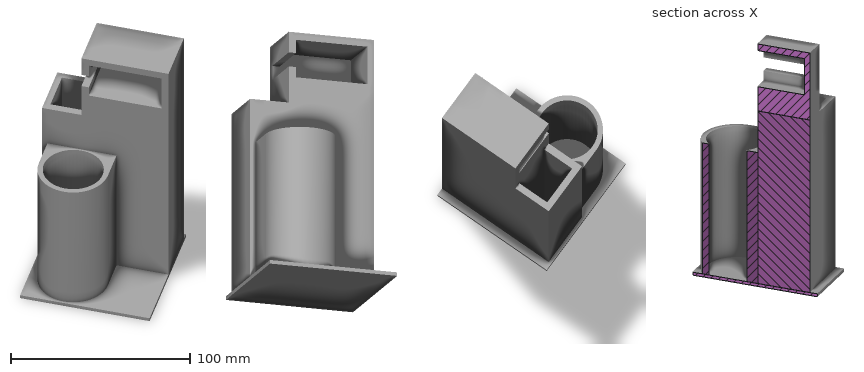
import cadquery as cq

plate_width = 74.9
plate_depth = 75.8
plate_thickness = 2.0

total_height = 148
tower_left = 24.5
tower_front = 39.4
tower_depth = 32.0

wall = 4.0
back_wall = 3.7
pocket_left = tower_left + 4.3
pocket_right = plate_width - wall
pocket_floor = 122.0
pocket_top = total_height - 4.3
slot_bottom = 127.9
slot_top = 136.0

box_left = 1.8
box_right = 54.3
box_top = 106.9
box_wall = 3.7
box_front_wall = 4.3

cup_diameter = 40
cup_bore = 34
cup_center_x = 24.9
cup_center_y = 21.3
cup_top = 81.8

tower_back = tower_front + tower_depth
cup_radius = cup_diameter / 2


def block(x0, x1, y0, y1, z0, z1):
    """Rectangular block between two opposite corners."""
    return cq.Workplane("XY").box(x1 - x0, y1 - y0, z1 - z0, centered=False).translate((x0, y0, z0))


def make_stand():
    """Base plate and tower in one piece, stepped over the box."""
    plate = block(0, plate_width, 0, plate_depth, 0, plate_thickness)
    column = block(box_right, plate_width, tower_front, tower_back, plate_thickness, total_height)
    head = block(tower_left, plate_width, tower_front, tower_back, box_top, total_height)
    pocket_back = tower_back - back_wall
    pocket = block(pocket_left, pocket_right, tower_front, pocket_back, pocket_floor, pocket_top)
    slot = block(tower_left, pocket_left, tower_front, pocket_back, slot_bottom, slot_top)
    return plate.union(column).union(head).cut(pocket).cut(slot)


def make_box():
    """Box whose open compartment ends flush with the left face of the tower head."""
    outer = block(box_left, box_right, tower_front, tower_back, plate_thickness, box_top)
    compartment = block(
        box_left + box_wall,
        tower_left,
        tower_front + box_front_wall,
        tower_back - box_wall,
        plate_thickness,
        box_top,
    )
    return outer.cut(compartment)


def make_cup():
    """D-shaped cup with a round bore down to the plate."""
    left = cup_center_x - cup_radius
    right = cup_center_x + cup_radius
    return (
        cq.Workplane("XY", origin=(0, 0, plate_thickness))
        .moveTo(left, tower_front)
        .lineTo(left, cup_center_y)
        .threePointArc((cup_center_x, cup_center_y - cup_radius), (right, cup_center_y))
        .lineTo(right, tower_front)
        .close()
        .moveTo(cup_center_x, cup_center_y)
        .circle(cup_bore / 2)
        .extrude(cup_top - plate_thickness)
    )


stand = make_stand()
box = make_box()
cup = make_cup()

result = cq.Compound.makeCompound([stand.val(), box.val(), cup.val()])